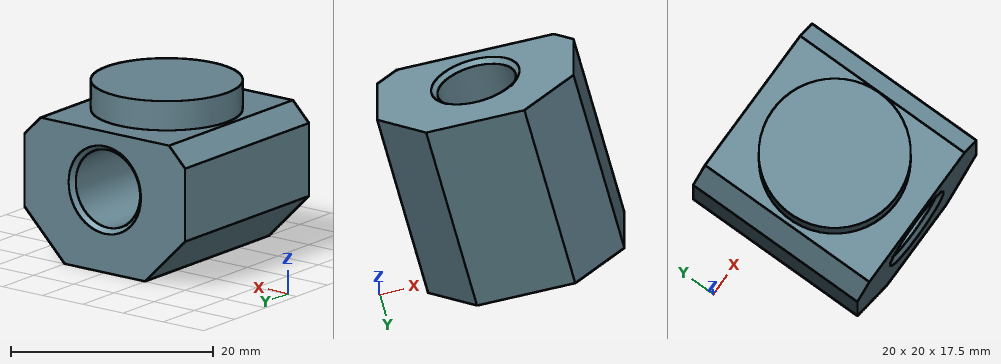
import cadquery as cq

width = 20.0
length = 20.0
body_height = 14.5
top_chamfer = 2.0
bottom_chamfer = 5.0

boss_diameter = 15.0
boss_height = 3.0

bore_diameter = 8.0
bore_mouth_diameter = 9.0
bore_center_z = 8.5
bore_chamfer = (bore_mouth_diameter - bore_diameter) / 2


def make_body():
    """Block with its long top and bottom edges chamfered."""
    block = cq.Workplane("XY").box(width, length, body_height, centered=(True, True, False))
    block = block.faces(">Z").edges("|Y").chamfer(top_chamfer)
    return block.faces("<Z").edges("|Y").chamfer(bottom_chamfer)


def make_boss():
    """Disc resting on the top face."""
    return cq.Workplane("XY", origin=(0, 0, body_height)).circle(boss_diameter / 2).extrude(boss_height)


def make_bore():
    """Cutter for the bore, flared to the mouth diameter at each end."""
    bore_radius = bore_diameter / 2
    mouth_radius = bore_mouth_diameter / 2
    half_length = length / 2
    straight_end = half_length - bore_chamfer
    profile = [
        (0, -half_length),
        (mouth_radius, -half_length),
        (bore_radius, -straight_end),
        (bore_radius, straight_end),
        (mouth_radius, half_length),
        (0, half_length),
    ]
    cutter = cq.Workplane("XY").polyline(profile).close().revolve(360, (0, 0), (0, 1))
    return cutter.translate((0, 0, bore_center_z))


result = make_body().union(make_boss()).cut(make_bore())